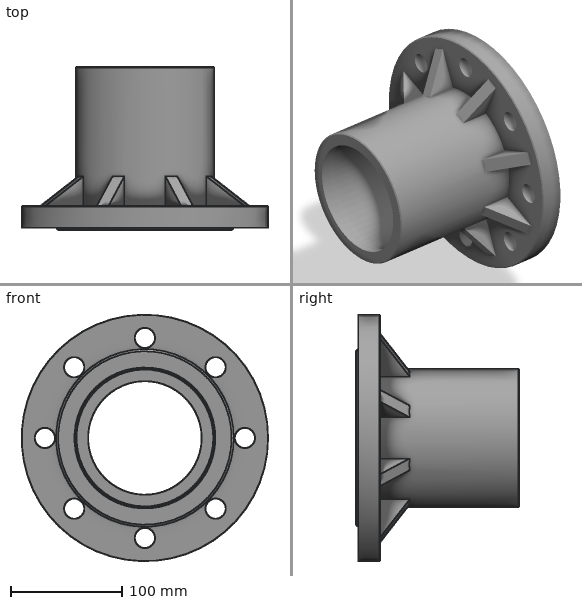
import cadquery as cq
import math

total_length = 147.0
pipe_radius = 62.5
bore_radius = 51.0
pipe_end_chamfer = 1.0

flange_radius = 111.0
flange_thickness = 20.0
flange_rim_chamfer = 1.0
raised_face_height = 2.0
raised_face_base_radius = 80.0
raised_face_top_radius = raised_face_base_radius - raised_face_height
flange_back_y = raised_face_height + flange_thickness

groove_depth = 1.0
groove_inner_radius = pipe_radius - groove_depth
groove_outer_radius = pipe_radius + groove_depth

bolt_count = 8
bolt_pitch_angle = 360.0 / bolt_count
bolt_circle_radius = 90.0
bolt_hole_radius = 9.0

rib_thickness = pipe_radius - bore_radius
rib_height = 26.25
rib_outer_radius = bolt_circle_radius + bolt_hole_radius
rib_root_radius = (pipe_radius + bore_radius) / 2


def flanged_pipe():
    """Revolve the half section of pipe, flange, raised face and groove about Y."""
    section = (
        cq.Workplane("XY")
        .moveTo(bore_radius, 0)
        .lineTo(groove_inner_radius, 0)
        .lineTo(pipe_radius, groove_depth)
        .lineTo(groove_outer_radius, 0)
        .lineTo(raised_face_top_radius, 0)
        .lineTo(raised_face_base_radius, raised_face_height)
        .lineTo(flange_radius, raised_face_height)
        .lineTo(flange_radius, flange_back_y - flange_rim_chamfer)
        .lineTo(flange_radius - flange_rim_chamfer, flange_back_y)
        .lineTo(pipe_radius, flange_back_y)
        .lineTo(pipe_radius, total_length - pipe_end_chamfer)
        .lineTo(pipe_radius - pipe_end_chamfer, total_length)
        .lineTo(bore_radius, total_length)
        .close()
    )
    return section.revolve(360, (0, 0, 0), (0, 1, 0))


def rib(angle):
    """Triangular gusset against the flange back, rooted inside the pipe wall."""
    slope = rib_height / (rib_outer_radius - pipe_radius)
    root_y = flange_back_y + slope * (rib_outer_radius - rib_root_radius)
    profile = (
        cq.Workplane("XY")
        .moveTo(rib_root_radius, flange_back_y)
        .lineTo(rib_outer_radius, flange_back_y)
        .lineTo(rib_root_radius, root_y)
        .close()
    )
    gusset = profile.extrude(rib_thickness / 2, both=True)
    return gusset.rotate((0, 0, 0), (0, 1, 0), angle)


def bolt_hole(angle):
    """Cutter through the full flange thickness on the bolt circle."""
    x = bolt_circle_radius * math.cos(math.radians(angle))
    z = bolt_circle_radius * math.sin(math.radians(angle))
    direction = cq.Vector(0, 1, 0)
    return cq.Solid.makeCylinder(bolt_hole_radius, flange_back_y, cq.Vector(x, 0, z), direction)


result = flanged_pipe()
for index in range(bolt_count):
    hole_angle = index * bolt_pitch_angle
    result = result.union(rib(hole_angle + bolt_pitch_angle / 2))
    result = result.cut(bolt_hole(hole_angle))